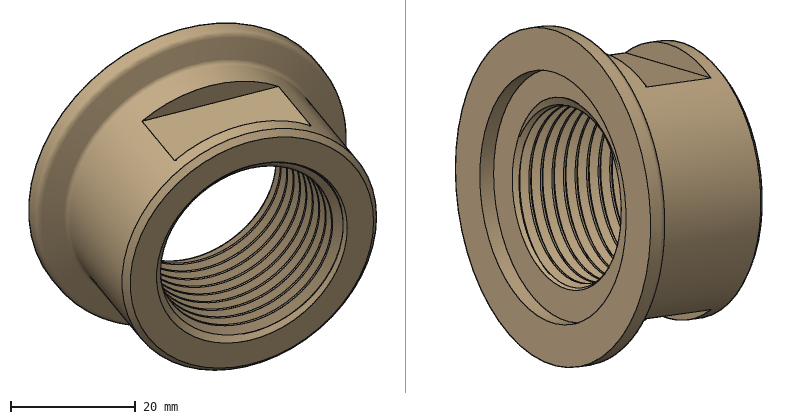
import cadquery as cq
import math

LENGTH = 26.0
FLANGE_DIAMETER = 55.0
BODY_DIAMETER = 45.0
END_CHAMFER = 1.0

RIM_WIDTH = 3.0
BACK_SLOPE = math.radians(15)
RIM_FILLET = 1.0
BODY_FILLET = 0.75

RECESS_DIAMETER = 41.2
RECESS_DEPTH = 2.7

FLAT_START = 10.0
FLAT_END = 22.5
FLATS_ACROSS = 38.0

PITCH = 25.4 / 11
THREAD_DEPTH = 0.640327 * PITCH
THREAD_HALF_ANGLE = math.radians(27.5)
ROOT_FLAT = PITCH / 6
CREST_DIAMETER = 30.291
TAPER = 1 / 16
TURNS_BEYOND_ENDS = 2
CUTTER_OVERLAP = 0.2
THREAD_PHASE = 185.0

INNER_MOUTH_DIAMETER = 30.7
OUTER_MOUTH_DIAMETER = 33.7


def crest_radius(x):
    """Radius of the thread crests at a distance x along the axis."""
    return (CREST_DIAMETER - TAPER * (LENGTH - x)) / 2


def revolve_about_x(profile):
    return profile.close().revolve(360, (0, 0, 0), (1, 0, 0))


def make_blank():
    """Flange and body, without the bore."""
    rim_radius = FLANGE_DIAMETER / 2
    body_radius = BODY_DIAMETER / 2
    slope_end = RIM_WIDTH + (rim_radius - body_radius) * math.tan(BACK_SLOPE)
    blank = revolve_about_x(
        cq.Workplane("XY")
        .lineTo(0, rim_radius)
        .lineTo(RIM_WIDTH, rim_radius)
        .lineTo(slope_end, body_radius)
        .lineTo(LENGTH, body_radius)
        .lineTo(LENGTH, 0)
    )
    blank = blank.edges(cq.selectors.RadiusNthSelector(-1)).edges(">X").fillet(RIM_FILLET)
    corner = cq.selectors.BoxSelector(
        (slope_end - END_CHAMFER / 2, -rim_radius, -rim_radius),
        (slope_end + END_CHAMFER / 2, rim_radius, rim_radius),
    )
    blank = blank.edges("%CIRCLE").edges(corner).fillet(BODY_FILLET)
    return blank.faces(">X").chamfer(END_CHAMFER)


def make_recess():
    return cq.Workplane("YZ").circle(RECESS_DIAMETER / 2).extrude(RECESS_DEPTH)


def make_bore():
    """Tapered bore through the thread crests, with a 45 degree chamfer at each mouth."""
    inner_mouth = INNER_MOUTH_DIAMETER / 2
    outer_mouth = OUTER_MOUTH_DIAMETER / 2
    inner_end = RECESS_DEPTH + inner_mouth - crest_radius(RECESS_DEPTH)
    outer_start = LENGTH - (outer_mouth - crest_radius(LENGTH))
    return revolve_about_x(
        cq.Workplane("XY")
        .moveTo(RECESS_DEPTH, 0)
        .lineTo(RECESS_DEPTH, inner_mouth)
        .lineTo(inner_end, crest_radius(inner_end))
        .lineTo(outer_start, crest_radius(outer_start))
        .lineTo(LENGTH, outer_mouth)
        .lineTo(LENGTH, 0)
    )


def make_thread_path(start, turns):
    """Right-hand conical helix about the Z axis, joined from single turns."""
    cone_angle = math.atan(TAPER / 2)
    slant_pitch = PITCH / math.cos(cone_angle)
    edges = []
    for turn in range(turns):
        rise = turn * PITCH
        radius = crest_radius(start + rise)
        helix = cq.Wire.makeHelix(slant_pitch, slant_pitch, radius, angle=math.degrees(cone_angle))
        edges.append(helix.translate(cq.Vector(0, 0, rise)).Edges()[0])
    return cq.Workplane(cq.Wire.assembleEdges(edges))


def make_thread_groove():
    """Tapered groove that runs past both ends of the bore, swept about Z and then laid along X."""
    start = RECESS_DEPTH - TURNS_BEYOND_ENDS * PITCH
    turns = math.ceil((LENGTH - RECESS_DEPTH) / PITCH) + 2 * TURNS_BEYOND_ENDS

    inner_radius = crest_radius(start) - CUTTER_OVERLAP
    root_radius = crest_radius(start) + THREAD_DEPTH
    root_half = ROOT_FLAT / 2
    inner_half = root_half + (root_radius - inner_radius) * math.tan(THREAD_HALF_ANGLE)
    groove = (
        cq.Workplane("XZ")
        .moveTo(inner_radius, -inner_half)
        .lineTo(root_radius, -root_half)
        .lineTo(root_radius, root_half)
        .lineTo(inner_radius, inner_half)
        .close()
        .sweep(make_thread_path(start, turns), isFrenet=True)
    )
    return (
        groove.rotate((0, 0, 0), (0, 1, 0), 90)
        .translate((start, 0, 0))
        .rotate((0, 0, 0), (1, 0, 0), THREAD_PHASE)
    )


def cut_wrench_flats(body):
    width = FLAT_END - FLAT_START
    height = (BODY_DIAMETER - FLATS_ACROSS) / 2
    for side in (1, -1):
        center = ((FLAT_START + FLAT_END) / 2, 0, side * (FLATS_ACROSS + height) / 2)
        body = body.cut(cq.Workplane("XY").box(width, BODY_DIAMETER, height).translate(center))
    return body


body = make_blank().cut(make_recess())
body = cut_wrench_flats(body)
result = body.cut(make_bore()).cut(make_thread_groove())